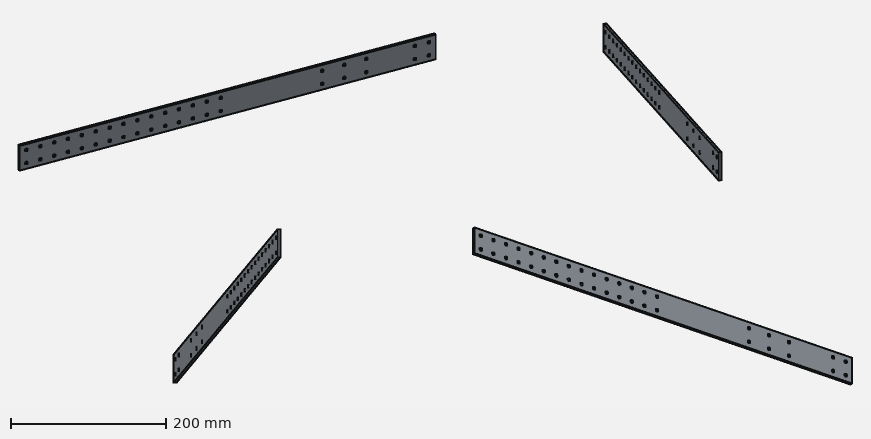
import cadquery as cq

thickness = 3.85
length = 600.0
height = 38.0

hole_diameter = 4.0
pitch = length / 30
end_margin = pitch / 2

pair_count = 2
trio_count = 3
trio_start = 100.0
trio_pitch = 32.0
long_run_count = 15


def evenly_spaced(start, step, count):
    return [start + step * i for i in range(count)]


long_run_start = length - end_margin - (long_run_count - 1) * pitch
columns = (
    evenly_spaced(end_margin, pitch, pair_count)
    + evenly_spaced(trio_start, trio_pitch, trio_count)
    + evenly_spaced(long_run_start, pitch, long_run_count)
)
hole_centers = [
    (length / 2 - distance, row)
    for distance in columns
    for row in (-pitch / 2, pitch / 2)
]

bar = cq.Workplane("XY").box(thickness, length, height)
holes = (
    cq.Workplane("YZ", origin=(-thickness, 0, 0))
    .pushPoints(hole_centers)
    .circle(hole_diameter / 2)
    .extrude(2 * thickness)
)
result = bar.cut(holes)